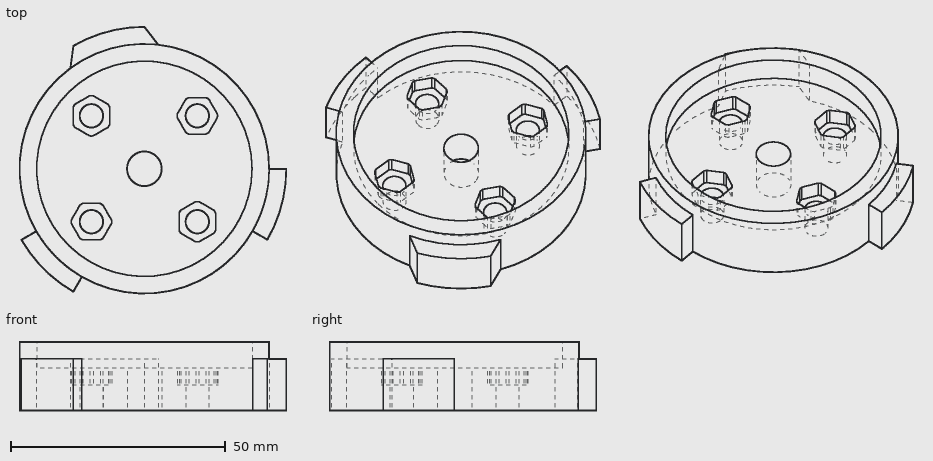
import cadquery as cq
import math

body_diameter = 58.13
wall_thickness = 4.0
body_height = 16.0
floor_thickness = 10.0
cup_diameter = body_diameter - 2 * wall_thickness

lug_projection = 4.0
lug_height = 12.0
lug_half_angle = 15.0
straight_lug_angles = (-15.0, 225.0)
flared_lug_angle = 105.0
flared_root_half_angle = 21.4
lug_overlap = 2.0

center_hole_diameter = 8.0
bolt_hole_diameter = 5.4
bolt_square_side = 24.65
nut_across_flats = 8.5
nut_depth = 4.0
nut_clip_diameter = 9.4
bolt_count = 4
first_bolt_angle = 45.0
nut_sides = 6

body_radius = body_diameter / 2
lug_radius = body_radius + lug_projection
bolt_circle_radius = bolt_square_side / math.sqrt(2)


def polar(radius, angle):
    """Point at a radius and an angle in degrees."""
    radians = math.radians(angle)
    return (radius * math.cos(radians), radius * math.sin(radians))


def make_lug(mid_angle, root_half_angle):
    """Lug with an arc-shaped outer face and sides that meet the body at root_half_angle."""
    root_start = polar(body_radius, mid_angle - root_half_angle)
    root_end = polar(body_radius, mid_angle + root_half_angle)
    inner_radius = body_radius - lug_overlap
    return (
        cq.Workplane("XY")
        .moveTo(*polar(inner_radius, mid_angle - root_half_angle))
        .lineTo(*root_start)
        .lineTo(*polar(lug_radius, mid_angle - lug_half_angle))
        .threePointArc(polar(lug_radius, mid_angle), polar(lug_radius, mid_angle + lug_half_angle))
        .lineTo(*root_end)
        .lineTo(*polar(inner_radius, mid_angle + root_half_angle))
        .threePointArc(
            polar(inner_radius, mid_angle),
            polar(inner_radius, mid_angle - root_half_angle),
        )
        .close()
        .extrude(lug_height)
    )


def make_nut_pocket_and_bolt_hole(index):
    """Cutter for one bolt hole with its corner-clipped hexagonal nut pocket."""
    across_corners = nut_across_flats / math.cos(math.pi / nut_sides)
    pocket_floor = cq.Workplane("XY").workplane(offset=floor_thickness - nut_depth)
    hexagon = pocket_floor.polygon(nut_sides, across_corners).extrude(nut_depth)
    corner_clip = pocket_floor.circle(nut_clip_diameter / 2).extrude(nut_depth)
    pocket = hexagon.intersect(corner_clip)
    hole = cq.Workplane("XY").circle(bolt_hole_diameter / 2).extrude(floor_thickness)
    turn = index * 360 / bolt_count
    x, y = polar(bolt_circle_radius, first_bolt_angle + turn)
    return pocket.union(hole).rotate((0, 0, 0), (0, 0, 1), turn).translate((x, y, 0))


result = cq.Workplane("XY").circle(body_radius).extrude(body_height)

for angle in straight_lug_angles:
    result = result.union(make_lug(angle, lug_half_angle))
result = result.union(make_lug(flared_lug_angle, flared_root_half_angle))

cup = (
    cq.Workplane("XY")
    .workplane(offset=floor_thickness)
    .circle(cup_diameter / 2)
    .extrude(body_height - floor_thickness)
)
result = result.cut(cup)

center_hole = cq.Workplane("XY").circle(center_hole_diameter / 2).extrude(floor_thickness)
result = result.cut(center_hole)

for bolt_index in range(bolt_count):
    result = result.cut(make_nut_pocket_and_bolt_hole(bolt_index))